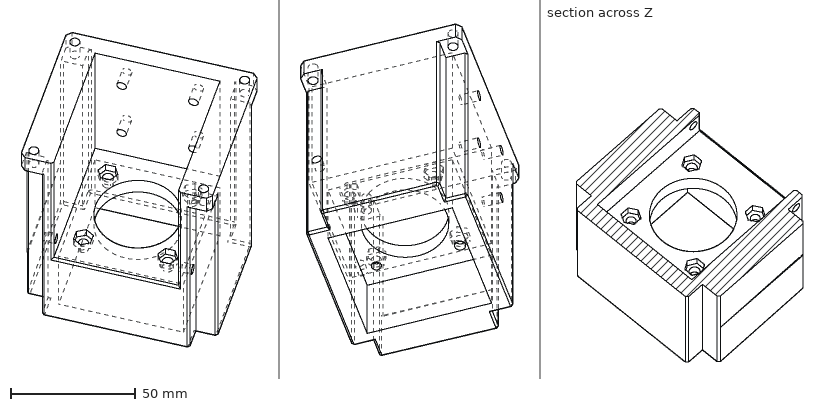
import cadquery as cq

LENGTH_X = 80.0
WIDTH_Y = 68.0
HEIGHT = 97.5

FLANGE_THICKNESS = 8.2
FLANGE_CORNER_CHAMFER = 2.0
FLANGE_HOLE_DIAMETER = 4.0
FLANGE_HOLE_INSET = 4.5

NOTCH_X = 9.1
NOTCH_Y = 9.0
EDGE_CHAMFER = 1.0

CAVITY_X = 52.3
BACK_WALL = 7.8
FRONT_WALL = 7.8
FLOOR_Z = 37.5
FLOOR_THICKNESS = 7.3
OPENING_CHAMFER = 1.0
FLARE_ANGLE = 45

BORE_DIAMETER = 35.2
BORE_TO_BACK = 36.0
WIDE_MOTOR_HOLE_DIAMETER = 4.5
NARROW_MOTOR_HOLE_DIAMETER = 4.0
MOTOR_HOLE_SPACING = 35.3
NUT_ACROSS_CORNERS = 8.2
NUT_POCKET_DEPTH = 3.5

BACK_HOLE_DIAMETER = 4.0
BACK_HOLE_SPACING_X = 30.0
BACK_HOLE_SPACING_Z = 29.6
BACK_HOLE_LOWEST_Z = 50.9
SIDE_HOLE_DIAMETER = 4.0
SIDE_HOLE_INSET = 4.5
SIDE_HOLE_Z = 45.0

RELIEF_HEIGHT = 25.9
RELIEF_DEPTH = 0.4

FRONT_Y = -WIDTH_Y / 2
BACK_Y = WIDTH_Y / 2
LEFT_X = -LENGTH_X / 2
FLANGE_BASE_Z = HEIGHT - FLANGE_THICKNESS
CAVITY_BACK_Y = BACK_Y - BACK_WALL
BORE_Y = BACK_Y - BORE_TO_BACK


def box_between(low, high):
    """Axis-aligned box spanning two opposite corners."""
    size = [top - bottom for bottom, top in zip(low, high)]
    return cq.Workplane("XY").box(*size, centered=False).translate(low)


def side_relief():
    """Wedge that deepens from nothing at the back to full depth at the front."""
    arm_front_y = FRONT_Y + NOTCH_Y
    taper_start_y = BACK_Y - NOTCH_Y - EDGE_CHAMFER
    return (
        cq.Workplane("XY")
        .moveTo(LEFT_X, taper_start_y)
        .lineTo(LEFT_X, arm_front_y)
        .lineTo(LEFT_X + RELIEF_DEPTH, arm_front_y)
        .close()
        .extrude(RELIEF_HEIGHT)
    )


def column():
    """Cross-shaped column with chamfered outer and bottom edges and a relief on its -X face."""
    arm_x = (
        cq.Workplane("XY")
        .box(LENGTH_X, WIDTH_Y - 2 * NOTCH_Y, FLANGE_BASE_Z, centered=(True, True, False))
        .edges("|Z")
        .chamfer(EDGE_CHAMFER)
        .cut(side_relief())
        .faces("<Z")
        .edges()
        .chamfer(EDGE_CHAMFER)
    )
    arm_y = (
        cq.Workplane("XY")
        .box(LENGTH_X - 2 * NOTCH_X, WIDTH_Y, FLANGE_BASE_Z, centered=(True, True, False))
        .edges("|Z or <Z")
        .chamfer(EDGE_CHAMFER)
    )
    return arm_x.union(arm_y)


def flange():
    """Top plate with chamfered corners and a hole at each corner."""
    return (
        cq.Workplane("XY", origin=(0, 0, FLANGE_BASE_Z))
        .box(LENGTH_X, WIDTH_Y, FLANGE_THICKNESS, centered=(True, True, False))
        .edges("|Z")
        .chamfer(FLANGE_CORNER_CHAMFER)
        .faces(">Z")
        .workplane()
        .rect(LENGTH_X - 2 * FLANGE_HOLE_INSET, WIDTH_Y - 2 * FLANGE_HOLE_INSET, forConstruction=True)
        .vertices()
        .hole(FLANGE_HOLE_DIAMETER)
    )


def upper_cavity():
    """Cavity above the floor, flared where it breaks through the front face."""
    half = CAVITY_X / 2
    cavity = box_between((-half, FRONT_Y, FLOOR_Z), (half, CAVITY_BACK_Y, HEIGHT))
    flare_bottom = FLOOR_Z - OPENING_CHAMFER
    flare_top = HEIGHT + OPENING_CHAMFER
    flare = (
        cq.Workplane("XZ", origin=(0, FRONT_Y, (flare_bottom + flare_top) / 2))
        .rect(CAVITY_X + 2 * OPENING_CHAMFER, flare_top - flare_bottom)
        .extrude(-OPENING_CHAMFER, taper=FLARE_ANGLE)
    )
    return cavity.union(flare)


def lower_cavity():
    """Cavity below the floor, open at the base."""
    half = CAVITY_X / 2
    return box_between(
        (-half, FRONT_Y + FRONT_WALL, 0), (half, CAVITY_BACK_Y, FLOOR_Z - FLOOR_THICKNESS)
    )


def motor_mount():
    """Central bore and four screw holes with hexagonal nut pockets."""
    plane = cq.Workplane("XY", origin=(0, BORE_Y, FLOOR_Z))
    cutter = plane.circle(BORE_DIAMETER / 2).extrude(-FLOOR_THICKNESS)
    offset = MOTOR_HOLE_SPACING / 2
    for side_x in (-1, 1):
        for side_y in (-1, 1):
            if side_x != side_y:
                diameter, turn = WIDE_MOTOR_HOLE_DIAMETER, 0
            else:
                diameter, turn = NARROW_MOTOR_HOLE_DIAMETER, 90
            hole = cq.Workplane("XY").circle(diameter / 2).extrude(-FLOOR_THICKNESS)
            nut = (
                cq.Workplane("XY")
                .transformed(rotate=(0, 0, turn))
                .polygon(6, NUT_ACROSS_CORNERS)
                .extrude(-NUT_POCKET_DEPTH)
            )
            place = (side_x * offset, BORE_Y + side_y * offset, FLOOR_Z)
            cutter = cutter.union(hole.union(nut).translate(place))
    return cutter


def back_holes():
    """Four holes through the back wall."""
    centre_z = BACK_HOLE_LOWEST_Z + BACK_HOLE_SPACING_Z / 2
    return (
        cq.Workplane("XZ", origin=(0, BACK_Y, centre_z))
        .rect(BACK_HOLE_SPACING_X, BACK_HOLE_SPACING_Z, forConstruction=True)
        .vertices()
        .circle(BACK_HOLE_DIAMETER / 2)
        .extrude(BACK_WALL)
    )


def side_hole():
    """Hole along X through both walls in the front corner notches."""
    return (
        cq.Workplane("YZ", origin=(LEFT_X, FRONT_Y + SIDE_HOLE_INSET, SIDE_HOLE_Z))
        .circle(SIDE_HOLE_DIAMETER / 2)
        .extrude(LENGTH_X)
    )


result = column().union(flange())
for cutter in (upper_cavity(), lower_cavity(), motor_mount(), back_holes(), side_hole()):
    result = result.cut(cutter)